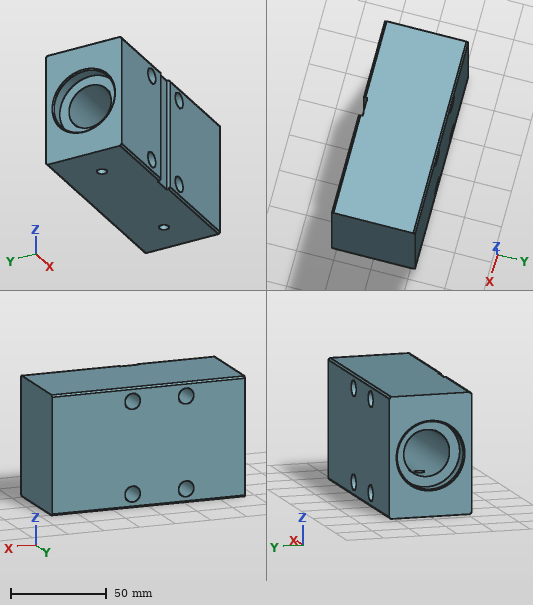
import cadquery as cq

LENGTH = 108.0
DEPTH = 45.0
HEIGHT = 65.0
EDGE_CHAMFER = 1.0

SLOT_START = 43.0
SLOT_WIDTH = 10.0
SLOT_DEPTH = 2.0

MOUNT_DIAMETER = 8.5
MOUNT_FIRST_X = 33.0
MOUNT_SPACING_X = 30.0
MOUNT_SPACING_Z = 50.0

BORE_DIAMETER = 25.0
BORE_END_WALL = 20.0
COUNTERBORE_DIAMETER = 36.0
COUNTERBORE_DEPTH = 7.0
MOUTH_CHAMFER = 0.7

PORT_DIAMETER = 5.3
PORT_RISE = 1.6
FRONT_PORT_X = 20.0
REAR_PORT_X = LENGTH - BORE_END_WALL


def make_block():
    block = cq.Workplane("XY").box(LENGTH, DEPTH, HEIGHT, centered=(False, True, True))
    return block.edges("|X").chamfer(EDGE_CHAMFER)


def make_slot():
    slot = cq.Workplane("XY").box(SLOT_WIDTH, SLOT_DEPTH, HEIGHT, centered=(False, False, True))
    return slot.translate((SLOT_START, -DEPTH / 2, 0))


def make_mounting_holes():
    centres = [
        (MOUNT_FIRST_X + column * MOUNT_SPACING_X, side * MOUNT_SPACING_Z / 2)
        for column in (0, 1)
        for side in (-1, 1)
    ]
    plane = cq.Workplane("XZ", origin=(0, DEPTH / 2, 0))
    return plane.pushPoints(centres).circle(MOUNT_DIAMETER / 2).extrude(DEPTH)


def make_bore():
    """Revolve the half section of the stepped bore about the X axis."""
    bore_radius = BORE_DIAMETER / 2
    counterbore_radius = COUNTERBORE_DIAMETER / 2
    bore_end = LENGTH - BORE_END_WALL
    section = (
        cq.Workplane("XY")
        .moveTo(0, 0)
        .lineTo(0, counterbore_radius + MOUTH_CHAMFER)
        .lineTo(MOUTH_CHAMFER, counterbore_radius)
        .lineTo(COUNTERBORE_DEPTH, counterbore_radius)
        .lineTo(COUNTERBORE_DEPTH, bore_radius)
        .lineTo(bore_end, bore_radius)
        .lineTo(bore_end, 0)
        .close()
    )
    return section.revolve(360, (0, 0, 0), (1, 0, 0))


def make_ports():
    port_length = HEIGHT / 2 - BORE_DIAMETER / 2 + PORT_RISE
    plane = cq.Workplane("XY", origin=(0, 0, -HEIGHT / 2))
    centres = [(FRONT_PORT_X, 0), (REAR_PORT_X, 0)]
    return plane.pushPoints(centres).circle(PORT_DIAMETER / 2).extrude(port_length)


result = make_block()
for cutter in (make_slot(), make_mounting_holes(), make_bore(), make_ports()):
    result = result.cut(cutter)